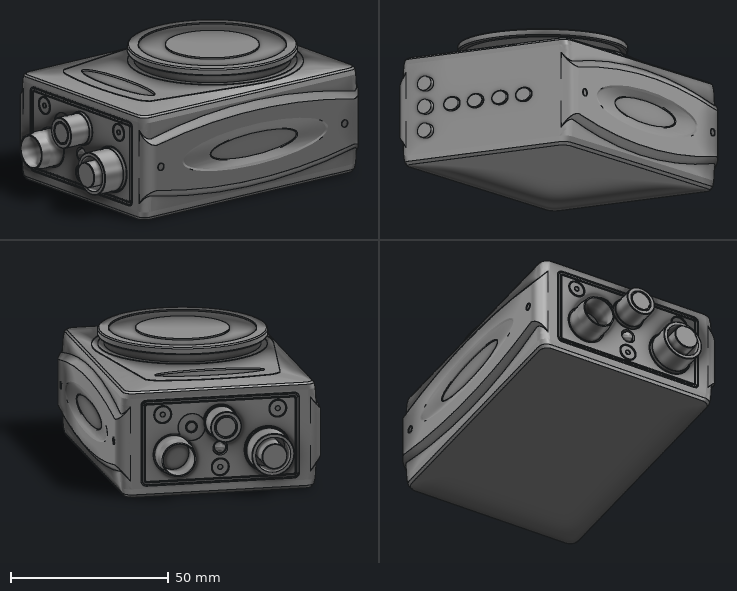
import cadquery as cq
import math

BODY_LENGTH = 88.2
BODY_HALF_Y = BODY_LENGTH / 2
BODY_HALF_X = 31.6
WAIST_HALF_X = 32.6
WAIST_Z = 17.7
BODY_CORNER = 3.0
BODY_TAPER_LOW = 2.8
BODY_TAPER_HIGH = 32.4
RIM_HALF_X = 31.2
EDGE_HALF_X = 30.6
RIM_INSET_Y = 0.1
EDGE_INSET_Y = 0.6
BOTTOM_BREAK_Z = 1.0
TOP_BREAK_Z = 34.1
TOP_EDGE_Z = 34.7
SPLIT_Y = -1.8
DECK_Z = 36.0
DECK_STEP = 0.2

LENS_Y = 9.4
DECK_RADIUS = 29.0
DECK_CORNER_START = (21.9, -33.5)
DECK_CORNER_MID = (20.2, -35.0)
DECK_CORNER_END = (17.3, -36.1)
DECK_FRONT_Y = -37.7
DECK_REAR_ANGLE = 45.0
DECK_SIDE_ANGLE = 29.0
NECK_RADIUS = 24.9
RING_RADIUS = 27.0
RING_HEIGHT = 0.2
FLANGE_RADIUS = 27.1
FLANGE_Z = 39.0
TOTAL_HEIGHT = 41.4
FLANGE_CHAMFER = 0.4
WINDOW_RADIUS = 23.5
LENS_RADIUS = 14.9
WINDOW_DEPTH = 0.5

TOTAL_WIDTH = 67.0
PAD_HALF_X = TOTAL_WIDTH / 2
PAD_CORNER = 4.0
PAD_Z = WAIST_Z
PAD_EDGE_BREAK = 0.4
PAD_EDGE_DROP = 0.2
PAD_HALF_HEIGHT = 11.9
PAD_END_HALF_HEIGHT = 7.1
PAD_BEVEL_RUN = 4.0
PAD_BEVEL_RISE = 5.0

OVAL_HALF_LENGTH = 17.8
OVAL_HALF_WIDTH = 4.1
OVAL_WALL = 0.4
LABEL_Y = -29.0
LABEL_DEPTH = 0.4
SIDE_OVAL_HALF_LENGTH = 29.7
SIDE_OVAL_HALF_WIDTH = 6.8
SIDE_OVAL_DEPTH = 1.0
SIDE_OVAL_EDGE = 0.8
SIDE_OVAL_EDGE_DROP = 0.2
SIDE_HOLE_RADIUS = 1.2
SIDE_HOLE_DEPTH = 0.3
SIDE_HOLE_Y = 37.5
SIDE_HOLE_SHIFT = -1.0

PANEL_HALF_X = 25.9
PANEL_LOW = 3.6
PANEL_HIGH = 31.7
PANEL_CORNER = 1.9
GROOVES = [(0, 0.5), (1.1, 1.5)]
GROOVE_DEPTH = 0.6
SCREWS = [(-18.7, 26.8), (18.7, 26.8), (0, 8.6)]
SCREW_RADIUS = 2.9
SCREW_GAP = 0.3
SCREW_SOCKET_RADIUS = 0.8
SCREW_DEPTH = 0.3
PORT = (-9.3, 22.1)
PORT_RADIUS = 4.4
PORT_HOLE_RADIUS = 1.9
PORT_PIN_RADIUS = 1.5
PORT_DEPTH = 0.3
PORT_HOLE_DEPTH = 0.6
LAMP = (0, 14.9)
LAMP_SEAT_RADIUS = 2.4
LAMP_RADIUS = 1.8
LAMP_SEAT_DEPTH = 1.5

SEAT_DEPTH = 0.3
COLLAR_LENGTH = 0.8
TUBE_LENGTH = 8.2
RIM_CHAMFER = 0.2
SLEEVE = (-15.3, 13.7)
SLEEVE_LENGTH = 8.0
SLEEVE_STRAIGHT = 4.8
SLEEVE_RADIUS = 6.0
SLEEVE_TIP_RADIUS = 5.5
SLEEVE_BORE = 5.1
SLEEVE_SEAT = 6.5
SOCKET = (0, 23.6)
SOCKET_RADIUS = 5.0
SOCKET_COLLAR = 5.3
SOCKET_SEAT = 5.5
SOCKET_BORE = 3.7
SOCKET_PIN = 3.2
SOCKET_BORE_DEPTH = 0.6
PLUG = (15.3, 13.7)
PLUG_RADIUS = 6.9
PLUG_COLLAR = 7.1
PLUG_SEAT = 7.5
PLUG_BORE = 5.7
PLUG_CORE = 4.1

TOTAL_LENGTH = 100.2
BUTTON_XS = [-15.3, -6.3, 2.9, 11.8]
KNOB_X = 21.5
KNOB_ZS = [10.0, 17.7, 25.3]
BUTTON_HALF_X = 3.0
KNOB_HALF_X = 2.7
BUTTON_HALF_Z = 2.3
BUTTON_CHAMFER = 0.3
BUTTON_HEIGHT = 0.7
KNOB_HEIGHT = 1.6
KNOB_LOW_HEIGHT = 1.1
PLUG_LENGTH = TOTAL_LENGTH - BODY_LENGTH - KNOB_HEIGHT


def closed_wire(edges, z):
    """Closed wire at height z, symmetric about X = 0.

    edges holds (start, middle, end) from the rear edge, down the right side, to the
    front edge. A middle of None gives a straight edge, otherwise an arc.
    """
    left_side = []
    for start, middle, end in reversed(edges[1:-1]):
        left_side.append((mirrored(end), middle and mirrored(middle), mirrored(start)))
    wire_edges = []
    for start, middle, end in edges + left_side:
        first = cq.Vector(*start, z)
        last = cq.Vector(*end, z)
        if middle is None:
            wire_edges.append(cq.Edge.makeLine(first, last))
        else:
            wire_edges.append(cq.Edge.makeThreePointArc(first, cq.Vector(*middle, z), last))
    return cq.Wire.assembleEdges(wire_edges)


def mirrored(point):
    return (-point[0], point[1])


def level_wire(half_x, half_y, corner, z):
    """Rounded rectangle, with each long side split in two."""
    flat_x = half_x - corner
    flat_y = half_y - corner
    bow_x = flat_x + corner * math.sqrt(0.5)
    bow_y = flat_y + corner * math.sqrt(0.5)
    edges = [
        ((-flat_x, half_y), None, (flat_x, half_y)),
        ((flat_x, half_y), (bow_x, bow_y), (half_x, flat_y)),
        ((half_x, flat_y), None, (half_x, SPLIT_Y)),
        ((half_x, SPLIT_Y), None, (half_x, -flat_y)),
        ((half_x, -flat_y), (bow_x, -bow_y), (flat_x, -half_y)),
        ((flat_x, -half_y), None, (-flat_x, -half_y)),
    ]
    return closed_wire(edges, z)


def deck_point(degrees):
    angle = math.radians(degrees)
    return (DECK_RADIUS * math.cos(angle), LENS_Y + DECK_RADIUS * math.sin(angle))


def deck_wire(z):
    """Round at the lens, narrowing along two tangent lines to a bowed front end."""
    dx = DECK_CORNER_START[0]
    dy = DECK_CORNER_START[1] - LENS_Y
    reach = math.acos(DECK_RADIUS / math.hypot(dx, dy))
    tangent_angle = math.degrees(math.atan2(dy, dx) + reach)
    side_mid_angle = (DECK_SIDE_ANGLE + tangent_angle) / 2
    corner_mid_angle = (DECK_REAR_ANGLE + DECK_SIDE_ANGLE) / 2
    rear_end = deck_point(DECK_REAR_ANGLE)
    side_start = deck_point(DECK_SIDE_ANGLE)
    side_end = deck_point(tangent_angle)
    edges = [
        (mirrored(rear_end), deck_point(90), rear_end),
        (rear_end, deck_point(corner_mid_angle), side_start),
        (side_start, deck_point(side_mid_angle), side_end),
        (side_end, None, DECK_CORNER_START),
        (DECK_CORNER_START, DECK_CORNER_MID, DECK_CORNER_END),
        (DECK_CORNER_END, (0, DECK_FRONT_Y), mirrored(DECK_CORNER_END)),
    ]
    return closed_wire(edges, z)


def make_housing():
    edge_half_y = BODY_HALF_Y - EDGE_INSET_Y
    rim_half_y = BODY_HALF_Y - RIM_INSET_Y
    levels = [
        level_wire(EDGE_HALF_X, edge_half_y, BODY_CORNER, 0),
        level_wire(RIM_HALF_X, rim_half_y, BODY_CORNER, BOTTOM_BREAK_Z),
        level_wire(BODY_HALF_X, BODY_HALF_Y, BODY_CORNER, BODY_TAPER_LOW),
        level_wire(WAIST_HALF_X, BODY_HALF_Y, BODY_CORNER, WAIST_Z),
        level_wire(BODY_HALF_X, BODY_HALF_Y, BODY_CORNER, BODY_TAPER_HIGH),
        level_wire(RIM_HALF_X, rim_half_y, BODY_CORNER, TOP_BREAK_Z),
        level_wire(EDGE_HALF_X, edge_half_y, BODY_CORNER, TOP_EDGE_Z),
        deck_wire(DECK_Z - DECK_STEP),
        deck_wire(DECK_Z),
    ]
    return cq.Workplane(obj=cq.Solid.makeLoft(levels, True))


def pad_section(plane, drop, growth):
    """Barrel outline, bowed above and below, sunk by drop and grown in height by growth."""
    mid_half = PAD_HALF_HEIGHT + growth
    end_half = PAD_END_HALF_HEIGHT + growth
    return (
        plane.workplane(offset=-drop)
        .moveTo(-BODY_HALF_Y, end_half)
        .threePointArc((0, mid_half), (BODY_HALF_Y, end_half))
        .lineTo(BODY_HALF_Y, -end_half)
        .threePointArc((0, -mid_half), (-BODY_HALF_Y, -end_half))
        .close()
    )


def make_side_pads():
    """Raised pad with bevelled edges on each long side, wrapping round the corners."""
    pad = cq.Workplane("YZ", origin=(PAD_HALF_X, 0, PAD_Z))
    pad = pad_section(pad, 0, -PAD_EDGE_BREAK)
    pad = pad_section(pad, PAD_EDGE_DROP, 0)
    pad = pad_section(pad, PAD_BEVEL_RUN, PAD_BEVEL_RISE)
    pad = pad.loft(ruled=True)
    blank = (
        cq.Workplane("XY")
        .rect(2 * PAD_HALF_X, BODY_LENGTH)
        .extrude(TOP_EDGE_Z)
        .edges("|Z")
        .fillet(PAD_CORNER)
    )
    pad = pad.intersect(blank)
    return pad.union(pad.mirror("YZ"))


def make_lens_mount():
    foot = cq.Workplane("XY", origin=(0, LENS_Y, DECK_Z))
    ring = foot.circle(RING_RADIUS).extrude(RING_HEIGHT)
    neck = foot.circle(NECK_RADIUS).extrude(FLANGE_Z - DECK_Z)
    flange = (
        cq.Workplane("XY", origin=(0, LENS_Y, FLANGE_Z))
        .circle(FLANGE_RADIUS)
        .extrude(TOTAL_HEIGHT - FLANGE_Z)
        .edges()
        .chamfer(FLANGE_CHAMFER)
    )
    window = (
        cq.Workplane("XY", origin=(0, LENS_Y, TOTAL_HEIGHT))
        .circle(WINDOW_RADIUS)
        .circle(LENS_RADIUS)
        .extrude(-WINDOW_DEPTH)
    )
    return ring.union(neck).union(flange).cut(window)


def oval_recess(plane, sections):
    """Elliptical cutter sunk below the plane through (half length, half width, depth) sections."""
    reached = 0
    for half_length, half_width, depth in sections:
        plane = plane.workplane(offset=reached - depth).ellipse(half_length, half_width)
        reached = depth
    return plane.loft(ruled=True)


def make_label_recess():
    plane = cq.Workplane("XY", origin=(0, LABEL_Y, DECK_Z))
    rim = (OVAL_HALF_LENGTH, OVAL_HALF_WIDTH, 0)
    floor = (OVAL_HALF_LENGTH - OVAL_WALL, OVAL_HALF_WIDTH - OVAL_WALL, LABEL_DEPTH)
    return oval_recess(plane, [rim, floor])


def make_side_recesses():
    """Oval dish and two screw holes in each side pad."""
    plane = cq.Workplane("YZ", origin=(PAD_HALF_X, 0, PAD_Z))
    slope_length = SIDE_OVAL_HALF_LENGTH - SIDE_OVAL_EDGE
    slope_width = SIDE_OVAL_HALF_WIDTH - SIDE_OVAL_EDGE
    floor_length = OVAL_HALF_LENGTH - OVAL_WALL
    floor_width = OVAL_HALF_WIDTH - OVAL_WALL
    sections = [
        (SIDE_OVAL_HALF_LENGTH, SIDE_OVAL_HALF_WIDTH, 0),
        (slope_length, slope_width, SIDE_OVAL_EDGE_DROP),
        (OVAL_HALF_LENGTH, OVAL_HALF_WIDTH, SIDE_OVAL_DEPTH - SIDE_OVAL_EDGE_DROP),
        (floor_length, floor_width, SIDE_OVAL_DEPTH),
    ]
    cutter = oval_recess(plane, sections)
    hole_ys = [SIDE_HOLE_SHIFT - SIDE_HOLE_Y, SIDE_HOLE_SHIFT + SIDE_HOLE_Y]
    holes = plane.pushPoints([(y, 0) for y in hole_ys]).circle(SIDE_HOLE_RADIUS).extrude(-SIDE_HOLE_DEPTH)
    cutter = cutter.union(holes)
    return cutter.union(cutter.mirror("YZ"))


def front_plane(spot):
    """Plane on the front face at an (X, Z) spot, its normal pointing outwards."""
    return cq.Workplane("XZ", origin=(spot[0], -BODY_HALF_Y, spot[1]))


def panel_block(inset, depth):
    """Rounded panel area, inset from the groove's outer edge and sunk into the front face."""
    height = PANEL_HIGH - PANEL_LOW
    return (
        front_plane((0, (PANEL_HIGH + PANEL_LOW) / 2))
        .rect(2 * (PANEL_HALF_X - inset), height - 2 * inset)
        .extrude(-depth)
        .edges("|Y")
        .fillet(PANEL_CORNER - inset)
    )


def make_panel_grooves():
    """Two nested grooves framing the connector panel."""
    frame = cq.Workplane("XZ")
    for outer_inset, inner_inset in GROOVES:
        groove = panel_block(outer_inset, GROOVE_DEPTH).cut(panel_block(inner_inset, GROOVE_DEPTH))
        frame = frame.add(groove)
    return frame.combine()


def make_panel_recesses():
    """Frame grooves, screw gaps and sockets, the port, and the lamp and connector seats."""
    cutter = make_panel_grooves()
    for spot in SCREWS:
        gap = front_plane(spot).circle(SCREW_RADIUS).circle(SCREW_RADIUS - SCREW_GAP).extrude(-SCREW_DEPTH)
        socket = front_plane(spot).circle(SCREW_SOCKET_RADIUS).extrude(-SCREW_DEPTH)
        cutter = cutter.union(gap).union(socket)
    port = front_plane(PORT)
    cutter = cutter.union(port.circle(PORT_RADIUS).extrude(-PORT_DEPTH))
    cutter = cutter.union(port.circle(PORT_HOLE_RADIUS).circle(PORT_PIN_RADIUS).extrude(-PORT_HOLE_DEPTH))
    lamp_seat = front_plane(LAMP).circle(LAMP_SEAT_RADIUS).extrude(-LAMP_SEAT_DEPTH)
    cutter = cutter.union(lamp_seat)
    for spot, radius in ((SLEEVE, SLEEVE_SEAT), (SOCKET, SOCKET_SEAT), (PLUG, PLUG_SEAT)):
        cutter = cutter.union(front_plane(spot).circle(radius).extrude(-SEAT_DEPTH))
    return cutter


def make_lamp():
    center = (LAMP[0], LAMP_SEAT_DEPTH / 2 - BODY_HALF_Y, LAMP[1])
    return cq.Workplane("XY", origin=center).sphere(LAMP_RADIUS)


def rod(spot, radius, length):
    """Cylinder from the bottom of a connector seat to length beyond the front face."""
    seat = front_plane(spot).workplane(offset=-SEAT_DEPTH)
    return seat.circle(radius).extrude(length + SEAT_DEPTH)


def collared_rod(spot, collar_radius, radius):
    """Connector body with a collar at its root and a chamfered rim."""
    body = rod(spot, radius, TUBE_LENGTH).faces("<Y").chamfer(RIM_CHAMFER)
    return body.union(rod(spot, collar_radius, COLLAR_LENGTH))


def make_sleeve():
    """Open tube with a tapered tip, bored down to its seat."""
    tip = (
        front_plane(SLEEVE)
        .workplane(offset=SLEEVE_STRAIGHT)
        .circle(SLEEVE_RADIUS)
        .workplane(offset=SLEEVE_LENGTH - SLEEVE_STRAIGHT)
        .circle(SLEEVE_TIP_RADIUS)
        .loft()
    )
    bore = rod(SLEEVE, SLEEVE_BORE, SLEEVE_LENGTH)
    return rod(SLEEVE, SLEEVE_RADIUS, SLEEVE_STRAIGHT).union(tip).cut(bore)


def make_socket():
    """Short rod with a shallow ring recess round its face."""
    face = front_plane(SOCKET).workplane(offset=TUBE_LENGTH)
    ring = face.circle(SOCKET_BORE).circle(SOCKET_PIN).extrude(-SOCKET_BORE_DEPTH)
    return collared_rod(SOCKET, SOCKET_COLLAR, SOCKET_RADIUS).cut(ring)


def make_plug():
    """Wide tube round a solid core that stands out past the rim."""
    bore = rod(PLUG, PLUG_BORE, TUBE_LENGTH)
    core = rod(PLUG, PLUG_CORE, PLUG_LENGTH).faces("<Y").chamfer(RIM_CHAMFER)
    return collared_rod(PLUG, PLUG_COLLAR, PLUG_RADIUS).cut(bore).union(core)


def make_rear_buttons():
    """Row of low buttons and a column of taller, slanted knobs on the rear face."""
    rear = cq.Workplane("XZ", origin=(0, BODY_HALF_Y, 0))
    spots = [(x, PAD_Z) for x in BUTTON_XS]
    buttons = rear.pushPoints(spots).ellipse(BUTTON_HALF_X, BUTTON_HALF_Z).extrude(-BUTTON_HEIGHT)
    buttons = buttons.faces(">Y").edges().chamfer(BUTTON_CHAMFER)
    knobs = rear.pushPoints([(KNOB_X, z) for z in KNOB_ZS])
    knobs = knobs.ellipse(KNOB_HALF_X, BUTTON_HALF_Z).extrude(-KNOB_HEIGHT)
    slant = (
        cq.Workplane("XY")
        .moveTo(KNOB_X, BODY_HALF_Y + KNOB_HEIGHT)
        .lineTo(KNOB_X + KNOB_HALF_X, BODY_HALF_Y + KNOB_HEIGHT)
        .lineTo(KNOB_X + KNOB_HALF_X, BODY_HALF_Y + KNOB_LOW_HEIGHT)
        .close()
        .extrude(TOTAL_HEIGHT)
    )
    return buttons.union(knobs.cut(slant))


result = make_housing().union(make_side_pads())
for cutter in (make_side_recesses(), make_label_recess(), make_panel_recesses()):
    result = result.cut(cutter)
connectors = (make_sleeve(), make_socket(), make_plug())
for feature in (make_lens_mount(), make_lamp(), *connectors, make_rear_buttons()):
    result = result.union(feature)